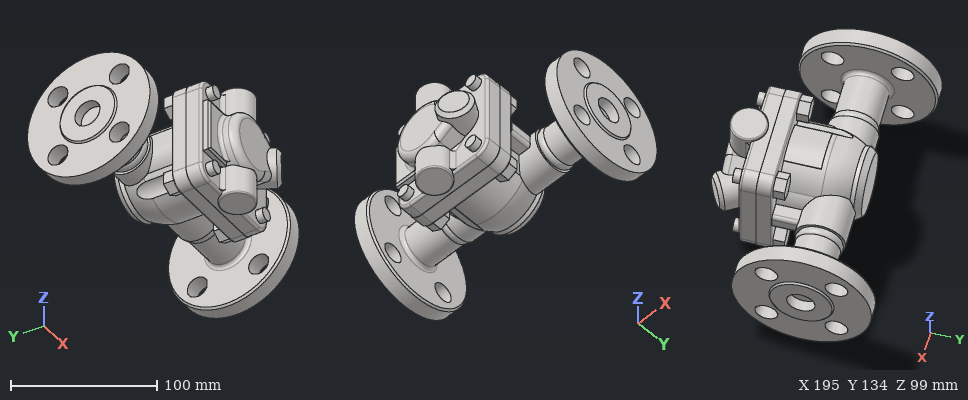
import cadquery as cq
import math

OVERALL_LENGTH = 195.0
FLANGE_DIA = 99.0
FLANGE_THICKNESS = 13.0
FLANGE_CHAMFER = 1.5
RAISED_FACE_DIA = 46.0
RAISED_FACE_HEIGHT = 1.5
RAISED_FACE_CHAMFER = 1.0
BORE_DIA = 20.0
BORE_DEPTH = 8.0
BOLT_CIRCLE_DIA = 70.0
FLANGE_HOLE_DIA = 16.0
FLANGE_HOLE_COUNT = 4
FLANGE_HOLE_START_ANGLE = 45.0
PIPE_DIA = 32.0
PIPE_FILLET = 3.0
SOCKET_DIA = 36.0
SOCKET_HALF_LENGTH = 45.3
WELD_LENGTH = 6.0
WELD_HEIGHT = 1.0

flange_back = OVERALL_LENGTH / 2 - RAISED_FACE_HEIGHT - FLANGE_THICKNESS
weld_end = SOCKET_HALF_LENGTH + WELD_LENGTH

BODY_X = -6.2
CAP_BACK_Y = 21.7
CAP_RIM_Y = 16.8
CAP_NECK_Y = 13.5
CAP_BACK_RADIUS = 22.5
CAP_RIM_RADIUS = 26.0
CAP_NECK_RADIUS = 25.5
SHOULDER_MIDDLE_Y = 4.0
SHOULDER_MIDDLE_RADIUS = 30.4
BARREL_START_Y = -5.6
BARREL_RADIUS = 32.5
LABEL_PAD_LEFT_X = -23.3
LABEL_PAD_RIGHT_X = 7.8
LABEL_PAD_BACK_Y = -9.0
LABEL_PAD_HEIGHT = 0.5

JOINT_X = -3.0
JOINT_SIZE = 85.2
JOINT_CORNER = 11.0
BODY_FLANGE_BACK_Y = -35.6
BODY_FLANGE_FILLET = 1.0
JOINT_Y = -46.9
COVER_FACE_Y = -59.3
COVER_INSET = 0.2
COVER_FILLET = 2.0
BOLT_SPACING = 64.0
BOLT_DIA = 10.0
BOLT_END_Y = -65.0
NUT_WIDTH = 16.0
NUT_BACK_Y = -27.2

GROOVE_RADIUS = 12.8
GROOVE_BACK_Y = 7.0
LOBE_RADIUS = 20.0
LOBE_SPACING = 32.0
LOBE_BACK_Y = -4.0
FLANK_RIB_X = 40.2
FLANK_RIB_WIDTH = 12.4
FLANK_RIB_FILLET = 2.8

DOME_RADIUS = 24.8
DOME_FACE_Y = -77.6
DOME_FILLET = 5.6
DOME_BASE_FILLET = 2.6
PORT_DIA = 26.5
PORT_Y = -63.7
PORT_LENGTH = 89.4
PORT_BASE_FILLET = 3.0
PORT_END_FILLET = 1.0
NAMEPLATE_LEFT_X = -43.3
NAMEPLATE_HEIGHT = 42.0
NAMEPLATE_FACE_Y = -64.7
NAMEPLATE_CHAMFER = 1.5
PLUG_DIA = 28.0
PLUG_CHAMFER = 3.0
PLUG_FACE_X = 26.5
PLUG_FACE_Y = -79.0
PLUG_LENGTH = 22.0
PLUG_ANGLE = 30.0
NECK_END_X = 19.0
NECK_END_HALF_WIDTH = 13.5


def cylinder_along_y(x, z, radius, y_back, y_front):
    """Cylinder parallel to Y running from y_back towards -Y."""
    return cq.Workplane("XZ", origin=(x, y_back, z)).circle(radius).extrude(y_back - y_front)


def block(x_range, y_range, z_range):
    """Box given by its limits on each axis."""
    size = [high - low for low, high in (x_range, y_range, z_range)]
    corner = (x_range[0], y_range[0], z_range[0])
    return cq.Workplane("XY").box(*size, centered=False).translate(corner)


def bolt_places():
    """X and Z of the four cover bolts."""
    half = BOLT_SPACING / 2
    return [(JOINT_X + sx * half, sz * half) for sx in (-1, 1) for sz in (-1, 1)]


def pipe_end():
    """Flange, pipe and weld bead on the +X side, turned about X."""
    face = OVERALL_LENGTH / 2
    raised_back = face - RAISED_FACE_HEIGHT
    flange_radius = FLANGE_DIA / 2
    pipe_radius = PIPE_DIA / 2
    raised_radius = RAISED_FACE_DIA / 2
    weld_middle = (SOCKET_HALF_LENGTH + weld_end) / 2
    fillet_mid = PIPE_FILLET * (1 - math.sqrt(0.5))
    end = (
        cq.Workplane("XY")
        .moveTo(0, 0)
        .lineTo(0, pipe_radius)
        .lineTo(SOCKET_HALF_LENGTH, pipe_radius)
        .threePointArc((weld_middle, pipe_radius + WELD_HEIGHT), (weld_end, pipe_radius))
        .lineTo(flange_back - PIPE_FILLET, pipe_radius)
        .threePointArc(
            (flange_back - fillet_mid, pipe_radius + fillet_mid),
            (flange_back, pipe_radius + PIPE_FILLET),
        )
        .lineTo(flange_back, flange_radius - FLANGE_CHAMFER)
        .lineTo(flange_back + FLANGE_CHAMFER, flange_radius)
        .lineTo(raised_back, flange_radius)
        .lineTo(raised_back, raised_radius)
        .lineTo(face, raised_radius - RAISED_FACE_CHAMFER)
        .lineTo(face, 0)
        .close()
        .revolve(360, (0, 0, 0), (1, 0, 0))
    )
    holes = (
        cq.Workplane("YZ", origin=(flange_back, 0, 0))
        .polarArray(BOLT_CIRCLE_DIA / 2, FLANGE_HOLE_START_ANGLE, 360, FLANGE_HOLE_COUNT)
        .circle(FLANGE_HOLE_DIA / 2)
        .extrude(FLANGE_THICKNESS)
    )
    return end.cut(holes)


def pipe_bores():
    """Blind bores entering from both raised faces."""
    bore = cq.Workplane("YZ", origin=(OVERALL_LENGTH / 2 - BORE_DEPTH, 0, 0))
    bore = bore.circle(BORE_DIA / 2).extrude(BORE_DEPTH)
    return bore.union(bore.mirror("YZ"))


def turned_body():
    """Rimmed cap, curved shoulder and barrel behind the square joint."""
    profile = (
        cq.Workplane("XY")
        .moveTo(0, CAP_BACK_Y)
        .lineTo(CAP_BACK_RADIUS, CAP_BACK_Y)
        .lineTo(CAP_RIM_RADIUS, CAP_RIM_Y)
        .lineTo(CAP_NECK_RADIUS, CAP_NECK_Y)
        .threePointArc(
            (SHOULDER_MIDDLE_RADIUS, SHOULDER_MIDDLE_Y),
            (BARREL_RADIUS, BARREL_START_Y),
        )
        .lineTo(BARREL_RADIUS, BODY_FLANGE_BACK_Y)
        .lineTo(0, BODY_FLANGE_BACK_Y)
        .close()
    )
    return profile.revolve(360, (0, 0, 0), (0, 1, 0)).translate((BODY_X, 0, 0))


def label_pad():
    """Thin raised patch on the top of the barrel."""
    radius = BARREL_RADIUS + LABEL_PAD_HEIGHT
    shell = cylinder_along_y(BODY_X, 0, radius, LABEL_PAD_BACK_Y, BODY_FLANGE_BACK_Y)
    limits = block(
        (LABEL_PAD_LEFT_X, LABEL_PAD_RIGHT_X),
        (BODY_FLANGE_BACK_Y, LABEL_PAD_BACK_Y),
        (0, radius),
    )
    return shell.intersect(limits)


def side_lobes():
    """Obround swelling of the barrel towards both pipe sockets."""
    lobes = cq.Workplane("XZ", origin=(BODY_X, LOBE_BACK_Y, 0))
    lobes = lobes.slot2D(LOBE_SPACING + 2 * LOBE_RADIUS, 2 * LOBE_RADIUS)
    return lobes.extrude(LOBE_BACK_Y - BODY_FLANGE_BACK_Y)


def flank_rib():
    """Rib between the outlet socket and the body flange."""
    half = FLANK_RIB_WIDTH / 2
    rib = block((BODY_X, FLANK_RIB_X), (BODY_FLANGE_BACK_Y, 0), (-half, half))
    return rib.edges("|Y and >X").fillet(FLANK_RIB_FILLET)


def bolt_grooves():
    """Clearance cylinders around the bolt axes, behind the body flange."""
    length = GROOVE_BACK_Y - BODY_FLANGE_BACK_Y
    grooves = cq.Workplane("XZ", origin=(0, GROOVE_BACK_Y, 0))
    return grooves.pushPoints(bolt_places()).circle(GROOVE_RADIUS).extrude(length)


def nuts():
    """Hexagons behind the four bolts, with a corner pointing up."""
    across_corners = NUT_WIDTH / math.cos(math.pi / 6)
    hexagon = cq.Workplane("XZ", origin=(0, NUT_BACK_Y, 0)).transformed(rotate=(0, 0, 90))
    places = [(z, -x) for x, z in bolt_places()]
    hexagons = hexagon.pushPoints(places).polygon(6, across_corners)
    return hexagons.extrude(NUT_BACK_Y - JOINT_Y)


def joint_plate(y_back, y_front, size):
    """Square plate with round corners."""
    plate = cq.Workplane("XZ", origin=(JOINT_X, y_back, 0)).rect(size, size)
    return plate.extrude(y_back - y_front).edges("|Y").fillet(JOINT_CORNER)


def dome(foot_y):
    """Round dome with a rounded rim and a flared foot standing at foot_y."""
    foot = DOME_BASE_FILLET
    foot_sag = foot * (1 - math.sqrt(0.5))
    profile = (
        cq.Workplane("XY")
        .moveTo(0, JOINT_Y)
        .lineTo(DOME_RADIUS + foot, JOINT_Y)
        .lineTo(DOME_RADIUS + foot, foot_y)
        .threePointArc(
            (DOME_RADIUS + foot_sag, foot_y - foot_sag),
            (DOME_RADIUS, foot_y - foot),
        )
        .lineTo(DOME_RADIUS, DOME_FACE_Y)
        .lineTo(0, DOME_FACE_Y)
        .close()
    )
    solid = profile.revolve(360, (0, 0, 0), (0, 1, 0))
    return solid.faces("<Y").edges().fillet(DOME_FILLET).translate((BODY_X, 0, 0))


def vertical_port():
    """Round boss crossing the cover from top to bottom."""
    port = cq.Workplane("XY", origin=(BODY_X, PORT_Y, 0)).circle(PORT_DIA / 2)
    return port.extrude(PORT_LENGTH / 2, both=True).faces("<Z or >Z").edges().fillet(PORT_END_FILLET)


def port_base():
    """Concave fillets joining the vertical port to the cover face."""
    fillet = PORT_BASE_FILLET
    port_radius = PORT_DIA / 2
    centre_y = COVER_FACE_Y - fillet
    lean = math.asin((centre_y - PORT_Y) / (port_radius + fillet))
    centre_x = (port_radius + fillet) * math.cos(lean)
    touch_x = port_radius * math.cos(lean)
    touch_y = PORT_Y + port_radius * math.sin(lean)
    middle = (math.pi / 2 + math.pi + lean) / 2
    middle_x = centre_x + fillet * math.cos(middle)
    middle_y = centre_y + fillet * math.sin(middle)
    half_height = JOINT_SIZE / 2 - COVER_INSET - COVER_FILLET
    base = (
        cq.Workplane("XY", origin=(BODY_X, 0, 0))
        .moveTo(-centre_x, JOINT_Y)
        .lineTo(centre_x, JOINT_Y)
        .lineTo(centre_x, COVER_FACE_Y)
        .threePointArc((middle_x, middle_y), (touch_x, touch_y))
        .lineTo(-touch_x, touch_y)
        .threePointArc((-middle_x, middle_y), (-centre_x, COVER_FACE_Y))
        .close()
    )
    return base.extrude(half_height, both=True)


def plug_neck():
    """Wedge with sides tangent to the dome, leading to the plug."""
    reach_x = NECK_END_X - BODY_X
    reach = math.hypot(reach_x, NECK_END_HALF_WIDTH)
    tangent = math.atan2(NECK_END_HALF_WIDTH, reach_x) + math.acos(DOME_RADIUS / reach)
    touch_x = BODY_X + DOME_RADIUS * math.cos(tangent)
    touch_z = DOME_RADIUS * math.sin(tangent)
    outline = [
        (touch_x, touch_z),
        (NECK_END_X, NECK_END_HALF_WIDTH),
        (NECK_END_X, -NECK_END_HALF_WIDTH),
        (touch_x, -touch_z),
    ]
    neck = cq.Workplane("XZ", origin=(0, JOINT_Y, 0)).polyline(outline).close()
    neck = neck.extrude(JOINT_Y - DOME_FACE_Y)
    return neck.faces("<Y").edges("not |Z").fillet(DOME_FILLET)


def nameplate():
    """Raised bevelled pad running from the left edge into the dome, with a fillet at the dome."""
    half = NAMEPLATE_HEIGHT / 2
    pad = block((NAMEPLATE_LEFT_X, BODY_X), (NAMEPLATE_FACE_Y, JOINT_Y), (-half, half))
    pad = pad.faces("<Y").edges("not >X").chamfer(NAMEPLATE_CHAMFER)
    flat_half = half - NAMEPLATE_CHAMFER
    foot_top_y = NAMEPLATE_FACE_Y - DOME_BASE_FILLET
    limits = block((NAMEPLATE_LEFT_X, BODY_X), (foot_top_y, JOINT_Y), (-flat_half, flat_half))
    return pad.union(dome(NAMEPLATE_FACE_Y).intersect(limits))


def strainer_plug():
    """Slanted round plug leaning towards +X."""
    angle = math.radians(PLUG_ANGLE)
    inward = (-math.sin(angle), math.cos(angle), 0)
    plane = cq.Plane(origin=(PLUG_FACE_X, PLUG_FACE_Y, 0), xDir=(0, 0, 1), normal=inward)
    plug = cq.Workplane(plane).circle(PLUG_DIA / 2).extrude(PLUG_LENGTH)
    return plug.faces("<Y").edges().chamfer(PLUG_CHAMFER)


cover = joint_plate(JOINT_Y, COVER_FACE_Y, JOINT_SIZE - 2 * COVER_INSET)
cover = cover.faces("<Y").edges().fillet(COVER_FILLET)
cover_features = (
    dome(COVER_FACE_Y),
    vertical_port(),
    port_base(),
    nameplate(),
    plug_neck(),
    strainer_plug(),
)
for feature in cover_features:
    cover = cover.union(feature)
for bolt_x, bolt_z in bolt_places():
    cover = cover.union(cylinder_along_y(bolt_x, bolt_z, BOLT_DIA / 2, JOINT_Y, BOLT_END_Y))

body_flange = joint_plate(BODY_FLANGE_BACK_Y, JOINT_Y, JOINT_SIZE)
body_flange = body_flange.faces(">Y").edges().fillet(BODY_FLANGE_FILLET)
body = turned_body()
for feature in (label_pad(), side_lobes()):
    body = body.union(feature)
body = body.cut(bolt_grooves())

socket = cq.Workplane("YZ").circle(SOCKET_DIA / 2).extrude(SOCKET_HALF_LENGTH, both=True)
right_end = pipe_end()
left_end = right_end.mirror("YZ")

result = body
for feature in (flank_rib(), socket, right_end, left_end, nuts(), body_flange, cover):
    result = result.union(feature)
result = result.cut(pipe_bores())